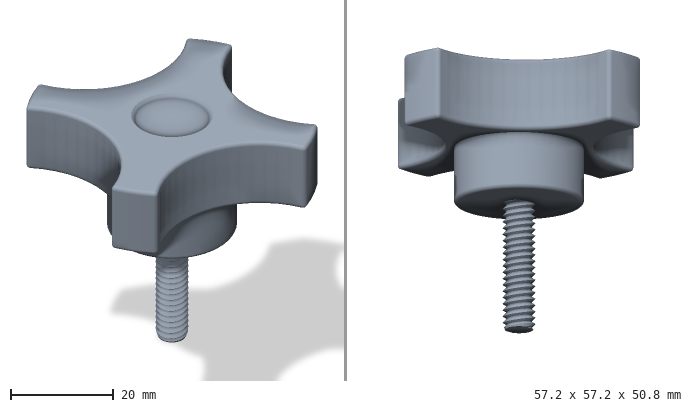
import cadquery as cq
import math

HEAD_DIAMETER = 57.15
HEAD_HEIGHT = 14.2875
ARM_COUNT = 4
SCALLOP_RADIUS = 20.0
SCALLOP_CENTER_DISTANCE = 34.5
EDGE_RADIUS = 0.79375

RECESS_DIAMETER = 15.875
RECESS_DEPTH = EDGE_RADIUS

HUB_DIAMETER = 25.4
HUB_HEIGHT = 11.1125

STUD_DIAMETER = 6.35
STUD_LENGTH = 25.4
STUD_CHAMFER_LENGTH = 1.1
STUD_CHAMFER_DEPTH = 0.45
THREAD_PITCH = 1.27
THREAD_DEPTH = 0.6

STUD_RADIUS = STUD_DIAMETER / 2
THREAD_CREST_WIDTH = THREAD_PITCH / 8
THREAD_ROOT_WIDTH = THREAD_PITCH / 8
FLANK_SLOPE = (THREAD_PITCH - THREAD_CREST_WIDTH - THREAD_ROOT_WIDTH) / 2 / THREAD_DEPTH
GROOVE_COUNT = round(STUD_LENGTH / THREAD_PITCH) + 1
GROOVE_TILT = math.degrees(math.atan(THREAD_PITCH / STUD_DIAMETER))


def polar(radius, angle):
    """Point at the given radius and angle in degrees around the Z axis."""
    return (radius * math.cos(math.radians(angle)), radius * math.sin(math.radians(angle)))


def make_head():
    """Four-armed head: a disc with four round scallops and all edges rounded."""
    outer_radius = HEAD_DIAMETER / 2
    half_spacing = 180 / ARM_COUNT
    corner_cosine = (outer_radius**2 + SCALLOP_CENTER_DISTANCE**2 - SCALLOP_RADIUS**2) / (
        2 * outer_radius * SCALLOP_CENTER_DISTANCE
    )
    corner_angle = math.degrees(math.acos(corner_cosine))

    outline = cq.Workplane("XY").moveTo(*polar(outer_radius, corner_angle - half_spacing))
    for arm in range(ARM_COUNT):
        scallop_angle = (2 * arm + 1) * half_spacing
        scallop_start = polar(outer_radius, scallop_angle - corner_angle)
        scallop_middle = polar(SCALLOP_CENTER_DISTANCE - SCALLOP_RADIUS, scallop_angle)
        scallop_end = polar(outer_radius, scallop_angle + corner_angle)
        arm_tip = polar(outer_radius, scallop_angle - half_spacing)
        outline = outline.threePointArc(arm_tip, scallop_start)
        outline = outline.threePointArc(scallop_middle, scallop_end)
    head = outline.close().extrude(HEAD_HEIGHT)
    return head.edges().fillet(EDGE_RADIUS)


def make_recess():
    """Shallow recess in the top face with a 45 degree wall."""
    top_radius = RECESS_DIAMETER / 2
    recess = cq.Solid.makeCone(top_radius - RECESS_DEPTH, top_radius, RECESS_DEPTH)
    return cq.Workplane(recess).translate((0, 0, HEAD_HEIGHT - RECESS_DEPTH))


def make_hub():
    """Round hub under the head with a rounded lower edge."""
    hub = cq.Workplane("XY").circle(HUB_DIAMETER / 2).extrude(-HUB_HEIGHT)
    return hub.faces("<Z").edges().fillet(EDGE_RADIUS)


def make_groove():
    """Flat-bottomed V ring around the stud axis, tilted about X so it drops toward -Y."""
    root_radius = STUD_RADIUS - THREAD_DEPTH
    outer_radius = STUD_RADIUS + THREAD_DEPTH / 2
    root_half_width = THREAD_ROOT_WIDTH / 2
    outer_half_width = root_half_width + (outer_radius - root_radius) * FLANK_SLOPE
    ring = (
        cq.Workplane("YZ")
        .moveTo(root_radius, -root_half_width)
        .lineTo(root_radius, root_half_width)
        .lineTo(outer_radius, outer_half_width)
        .lineTo(outer_radius, -outer_half_width)
        .close()
        .revolve(360, (0, 0, 0), (0, 1, 0))
    )
    return ring.rotate((0, 0, 0), (1, 0, 0), GROOVE_TILT)


def make_stud():
    """Stud with a chamfered end and tilted ring grooves in place of a helical thread."""
    stud = cq.Workplane("XY").circle(STUD_RADIUS).extrude(-STUD_LENGTH)
    stud = stud.faces("<Z").edges().chamfer(STUD_CHAMFER_LENGTH, STUD_CHAMFER_DEPTH)
    groove = make_groove()
    for index in range(GROOVE_COUNT):
        stud = stud.cut(groove.translate((0, 0, -index * THREAD_PITCH)))
    return stud.translate((0, 0, -HUB_HEIGHT))


result = make_head().cut(make_recess()).union(make_hub()).union(make_stud())